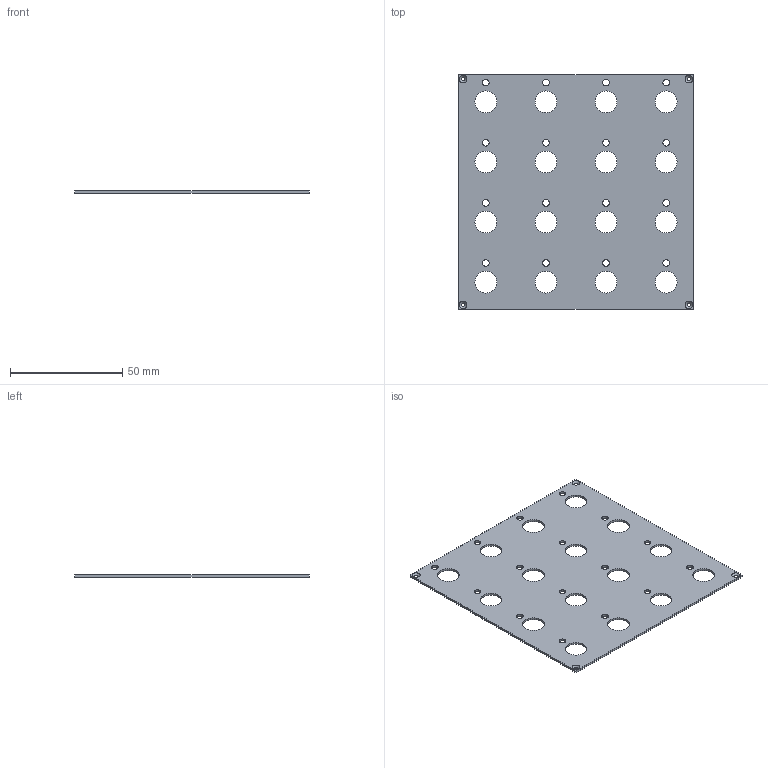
import cadquery as cq

side = 104.35
thickness = 1.0

grid_count = 4
grid_pitch = 26.73
large_diameter = 9.7
small_diameter = 3.0
small_offset = 8.53

screw_inset = 2.0
screw_spacing = side - 2 * screw_inset
screw_diameter = 1.75
countersink_diameter = 3.4
countersink_angle = 90.0


def make_panel():
    """Flat square plate resting on Z = 0, centred on the Z axis."""
    return cq.Workplane("XY").box(side, side, thickness, centered=(True, True, False))


def cut_grid(panel, diameter, y_offset):
    """Cut the square grid of through holes, shifted along Y by y_offset."""
    return (
        panel.faces(">Z")
        .workplane(origin=(0, y_offset, thickness))
        .rarray(grid_pitch, grid_pitch, grid_count, grid_count)
        .hole(diameter)
    )


def cut_screw_holes(panel):
    """Cut the four corner holes, countersunk from the top face."""
    return (
        panel.faces(">Z")
        .workplane(origin=(0, 0, thickness))
        .rect(screw_spacing, screw_spacing, forConstruction=True)
        .vertices()
        .cskHole(screw_diameter, countersink_diameter, countersink_angle)
    )


panel = make_panel()
panel = cut_grid(panel, large_diameter, 0)
panel = cut_grid(panel, small_diameter, small_offset)
result = cut_screw_holes(panel)